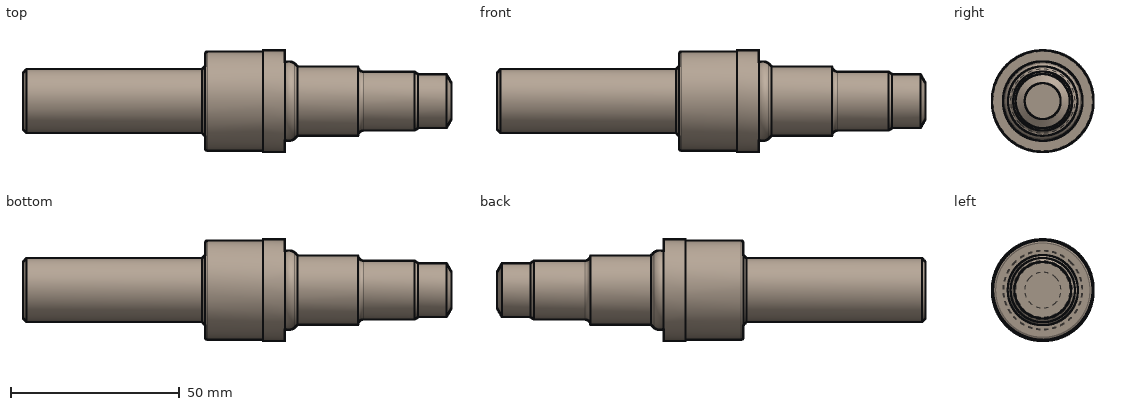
import cadquery as cq
import math

length = 127.0

shank_radius = 9.5
shank_chamfer = 1.1

collar_start = 54.0
collar_radius = 14.7
collar_rounding = 0.8
shank_cone = 0.9
rim_start = 71.1
rim_end = 77.6
rim_radius = 15.1

bead_radius = 11.8
bead_crest = 78.7
bead_rounding = 2.8
bead_cone_start = 80.4
bead_cone_end = 81.4

large_step_radius = 10.3
large_step_end = 99.3
middle_step_radius = 8.8
middle_step_end = 116.0
small_step_radius = 8.0
step_cone_length = 1.1
tip_radius = 5.3
tip_chamfer_length = 1.5

step_fillet = large_step_radius - middle_step_radius
diagonal = math.sqrt(0.5)


def bead_height(x):
    """Radius of the bead at a place along the axis."""
    offset = x - bead_crest
    return bead_radius - bead_rounding + math.sqrt(bead_rounding**2 - offset**2)


profile = (
    cq.Workplane("XY")
    .moveTo(0, 0)
    .lineTo(0, shank_radius - shank_chamfer)
    .lineTo(shank_chamfer, shank_radius)
    .lineTo(collar_start - shank_cone, shank_radius)
    .lineTo(collar_start, shank_radius + shank_cone)
    .lineTo(collar_start, collar_radius - collar_rounding)
    .threePointArc(
        (
            collar_start + collar_rounding * (1 - diagonal),
            collar_radius - collar_rounding * (1 - diagonal),
        ),
        (collar_start + collar_rounding, collar_radius),
    )
    .lineTo(rim_start, collar_radius)
    .lineTo(rim_start, rim_radius)
    .lineTo(rim_end, rim_radius)
    .lineTo(rim_end, bead_height(rim_end))
    .threePointArc((bead_crest, bead_radius), (bead_cone_start, bead_height(bead_cone_start)))
    .lineTo(bead_cone_end, large_step_radius)
    .lineTo(large_step_end, large_step_radius)
    .threePointArc(
        (
            large_step_end + step_fillet * (1 - diagonal),
            middle_step_radius + step_fillet * (1 - diagonal),
        ),
        (large_step_end + step_fillet, middle_step_radius),
    )
    .lineTo(middle_step_end, middle_step_radius)
    .lineTo(middle_step_end + step_cone_length, small_step_radius)
    .lineTo(length - tip_chamfer_length, small_step_radius)
    .lineTo(length, tip_radius)
    .lineTo(length, 0)
    .close()
)

result = profile.revolve(360, (0, 0, 0), (1, 0, 0))